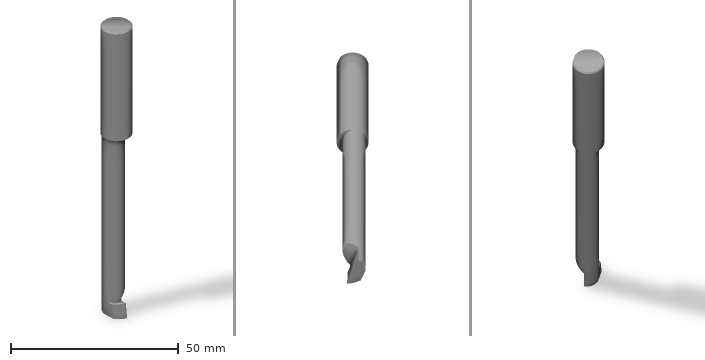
import cadquery as cq
import math

total_length = 101.6
shank_diameter = 9.5
shank_length = 38.1
shank_bevel = 0.4
flat_y = 4.5
neck_diameter = 6.9

shank_radius = shank_diameter / 2
neck_radius = neck_diameter / 2
neck_x = neck_radius - shank_radius
shank_bottom = total_length - shank_length

ramp_start = 6.4
ramp_height = 3.1

tooth_height = 5.2
tooth_reach_top = 3.9
tooth_reach_bottom = 4.4
heel_inset = 2.3
heel_facet = 0.9
flank_bulge = 0.2

end_relief_angle = 4.0
end_edge_angle = 2.0


def make_shank():
    shank = (
        cq.Workplane("XY", origin=(0, 0, shank_bottom))
        .circle(shank_radius)
        .extrude(shank_length)
        .faces(">Z")
        .chamfer(shank_bevel)
    )
    waste = cq.Workplane("XY", origin=(0, 0, shank_bottom)).box(
        shank_diameter, shank_radius, shank_length, centered=(True, False, False)
    )
    return shank.cut(waste.translate((0, flat_y, 0)))


def make_neck():
    neck = cq.Workplane("XY").center(neck_x, 0).circle(neck_radius).extrude(shank_bottom)
    ramp_top = ramp_start + ramp_height
    notch = (
        cq.Workplane("YZ")
        .polyline([(0, 0), (neck_radius, 0), (neck_radius, ramp_top), (0, ramp_start)])
        .close()
        .extrude(shank_diameter, both=True)
    )
    return neck.cut(notch)


def tooth_section(workplane, reach):
    """Draw a tooth cross-section whose cutting edge is at x = reach."""
    heel_x = reach - heel_inset
    flank_x = heel_x + heel_facet
    flank_y = heel_facet - neck_radius
    chord = math.hypot(reach - flank_x, flank_y)
    bulge_x = -flank_bulge * flank_y / chord
    bulge_y = flank_bulge * (reach - flank_x) / chord
    flank_middle = ((flank_x + reach) / 2 + bulge_x, flank_y / 2 - bulge_y)
    return (
        workplane.moveTo(neck_x, 0)
        .lineTo(neck_x, -neck_radius)
        .lineTo(heel_x, -neck_radius)
        .lineTo(flank_x, flank_y)
        .threePointArc(flank_middle, (reach, 0))
        .close()
    )


def make_tooth():
    foot = tooth_section(cq.Workplane("XY"), tooth_reach_bottom)
    return tooth_section(foot.workplane(offset=tooth_height), tooth_reach_top).loft(ruled=True)


def make_end_waste():
    """Block below the tilted end face, which passes through the tooth tip."""
    block = cq.Workplane("XY").box(
        total_length, total_length, shank_diameter, centered=(True, True, False)
    )
    block = block.translate((0, 0, -shank_diameter))
    block = block.rotate((0, 0, 0), (1, 0, 0), -end_relief_angle)
    block = block.rotate((0, 0, 0), (0, 1, 0), end_edge_angle)
    return block.translate((tooth_reach_bottom, 0, 0))


bar = make_shank().union(make_neck()).union(make_tooth())
result = bar.cut(make_end_waste())